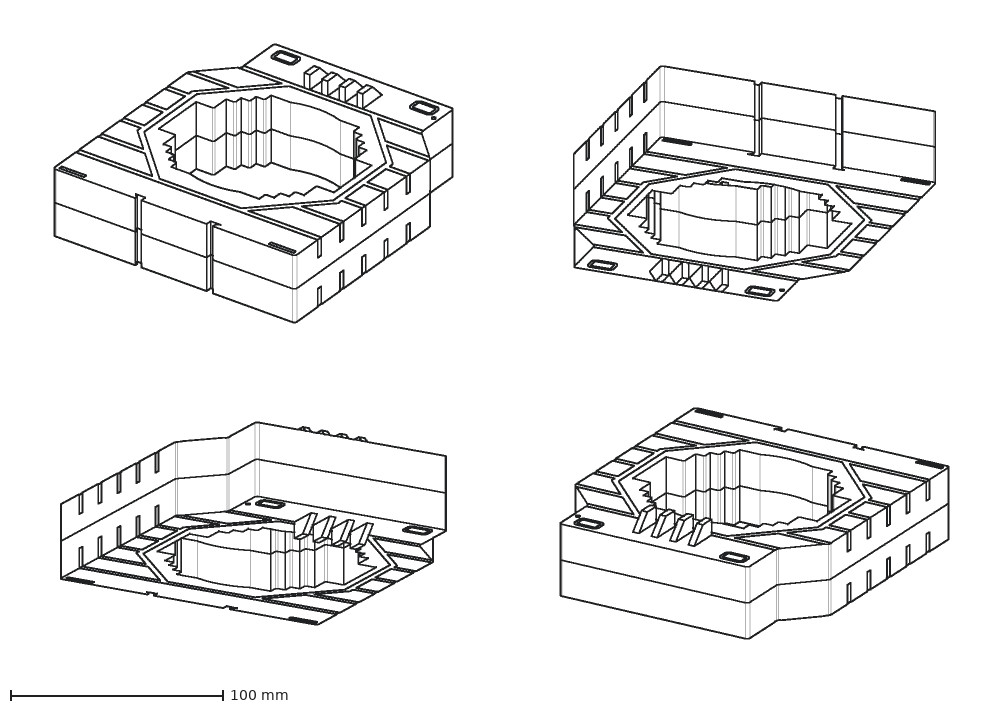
import cadquery as cq
import math


BODY_HALF_WIDTH = 70.0
BLOCK_HALF_WIDTH = 51.9
LENGTH = 154.5
BLOCK_END_Y = 80.5
FOOT_Y = BLOCK_END_Y - LENGTH
SHOULDER_SUM = 105.8
HALF_THICKNESS = 18.4
OVERALL_HEIGHT = 53.0
OUTER_CORNER_RADIUS = 1.5

ROUND_BORE_RADIUS = 43.1
WIDE_BAR = (50.7, 15.3)
FIRST_STEP_X = 40.6
FIRST_STEP_Y = 25.5
STEP_COUNT = 4
STAIRCASE_SPAN = 15.1
BAR_STEP = STAIRCASE_SPAN / (STEP_COUNT - 1)
STEP_CORNER_RADIUS = 1.0

GROOVE_DEPTH = 0.2
GROOVE_WIDTH = 3.0
GROOVES_EACH_SIDE = 3
OUTERMOST_GROOVE_Y = 54.0
GROOVE_PITCH = OUTERMOST_GROOVE_Y / GROOVES_EACH_SIDE
GROOVE_Y = [i * GROOVE_PITCH for i in range(-GROOVES_EACH_SIDE, GROOVES_EACH_SIDE + 1)]
BAND_EDGE_Y = OUTERMOST_GROOVE_Y + GROOVE_WIDTH / 2
SIDE_GROOVE_HEIGHT = 9.9
RING_HALF_WIDTH = 54.7
RING_SIDE_WIDTH = 3.4
RING_DIAGONAL_SUM = 76.2

FIN_COUNT = 4
FIN_ROW_SPAN = 30.5
FIN_PITCH = FIN_ROW_SPAN / (FIN_COUNT - 1)
FIN_WIDTH = 3.2
FIN_TIP_Z = OVERALL_HEIGHT / 2
FIN_TOE_Y = 71.4
FIN_CREST_Y = 63.5

FRAME_X = 40.0
FRAME_Y = 73.1
FRAME_OUTER = (13.1, 8.3)
FRAME_INNER = (10.0, 5.4)
FRAME_OUTER_RADIUS = 2.3
FRAME_INNER_RADIUS = 0.6
DOT_X = 49.1
DOT_Y = 68.0
DOT_DIAMETER = 2.0
FOOT_MARK_X = 60.5
FOOT_MARK_SIZE = (14.2, 1.9)
FOOT_MARK_Y = -71.0

NOTCH_INNER_X = 18.8
NOTCH_MOUTH_X = 22.4
NOTCH_ROOT_X = 24.5
NOTCH_DEPTH = 3.2
NOTCH_LIP = 1.4


def recess_floor(depth=GROOVE_DEPTH):
    """Workplane at the floor of a recess of the given depth in the face."""
    return cq.Workplane("XY", origin=(0, 0, HALF_THICKNESS - depth))


def make_housing_blank():
    right_side = [
        (BODY_HALF_WIDTH, FOOT_Y),
        (BODY_HALF_WIDTH, SHOULDER_SUM - BODY_HALF_WIDTH),
        (BLOCK_HALF_WIDTH, SHOULDER_SUM - BLOCK_HALF_WIDTH),
        (BLOCK_HALF_WIDTH, BLOCK_END_Y),
    ]
    left_side = [(-x, y) for x, y in reversed(right_side)]
    blank = cq.Workplane("XY").polyline(right_side + left_side).close().extrude(HALF_THICKNESS)
    return blank.edges("|Z").fillet(OUTER_CORNER_RADIUS)


def make_window():
    window = cq.Workplane("XY").circle(ROUND_BORE_RADIUS).extrude(HALF_THICKNESS)
    bars = [WIDE_BAR]
    for i in range(STEP_COUNT):
        bars.append((FIRST_STEP_X - i * BAR_STEP, FIRST_STEP_Y + i * BAR_STEP))
    for half_x, half_y in bars:
        bar = cq.Workplane("XY").rect(2 * half_x, 2 * half_y).extrude(HALF_THICKNESS)
        window = window.union(bar)
    for (_, side_y), (end_x, _) in zip(bars, bars[1:]):
        for x in (-end_x, end_x):
            for y in (-side_y, side_y):
                corner = cq.selectors.NearestToPointSelector((x, y, HALF_THICKNESS / 2))
                window = window.edges("|Z").edges(corner).fillet(STEP_CORNER_RADIUS)
    return window


def octagon(half_x, half_y, diagonal_sum):
    corner_x = diagonal_sum - half_y
    corner_y = diagonal_sum - half_x
    points = [
        (half_x, -corner_y), (half_x, corner_y), (corner_x, half_y), (-corner_x, half_y),
        (-half_x, corner_y), (-half_x, -corner_y), (-corner_x, -half_y), (corner_x, -half_y),
    ]
    return recess_floor().polyline(points).close().extrude(GROOVE_DEPTH)


def make_face_grooves():
    inside = octagon(RING_HALF_WIDTH, BAND_EDGE_Y - GROOVE_WIDTH, RING_DIAGONAL_SUM)
    grooves = octagon(
        RING_HALF_WIDTH + RING_SIDE_WIDTH, BAND_EDGE_Y, RING_DIAGONAL_SUM + GROOVE_WIDTH * math.sqrt(2)
    )
    for y in GROOVE_Y:
        band = recess_floor().center(0, y).rect(2 * BODY_HALF_WIDTH, GROOVE_WIDTH).extrude(GROOVE_DEPTH)
        grooves = grooves.union(band)
    return grooves.cut(inside)


def make_side_grooves():
    places = [(sx * BODY_HALF_WIDTH, y) for sx in (-1, 1) for y in GROOVE_Y[:-2]]
    floor = recess_floor(SIDE_GROOVE_HEIGHT).pushPoints(places)
    return floor.rect(2 * GROOVE_DEPTH, GROOVE_WIDTH).extrude(SIDE_GROOVE_HEIGHT)


def frame_pads(size, radius):
    places = [(-FRAME_X, FRAME_Y), (FRAME_X, FRAME_Y)]
    return recess_floor().pushPoints(places).rect(*size).extrude(GROOVE_DEPTH).edges("|Z").fillet(radius)


def make_markings():
    frames = frame_pads(FRAME_OUTER, FRAME_OUTER_RADIUS).cut(frame_pads(FRAME_INNER, FRAME_INNER_RADIUS))
    dot = recess_floor().center(DOT_X, DOT_Y).circle(DOT_DIAMETER / 2).extrude(GROOVE_DEPTH)
    foot_places = [(-FOOT_MARK_X, FOOT_MARK_Y), (FOOT_MARK_X, FOOT_MARK_Y)]
    foot_marks = recess_floor().pushPoints(foot_places).rect(*FOOT_MARK_SIZE).extrude(GROOVE_DEPTH)
    return frames.union(dot).union(foot_marks)


def make_notches():
    ceiling = FOOT_Y + NOTCH_DEPTH
    outline = [
        (NOTCH_INNER_X, FOOT_Y),
        (NOTCH_MOUTH_X, FOOT_Y),
        (NOTCH_MOUTH_X, FOOT_Y + NOTCH_LIP),
        (NOTCH_ROOT_X, ceiling),
        (NOTCH_INNER_X, ceiling),
    ]
    notch = cq.Workplane("XY").polyline(outline).close().extrude(HALF_THICKNESS)
    return notch.union(notch.mirror("YZ"))


def make_fins():
    profile = [
        (BAND_EDGE_Y, HALF_THICKNESS),
        (FIN_TOE_Y, HALF_THICKNESS),
        (FIN_CREST_Y, FIN_TIP_Z),
        (BAND_EDGE_Y, FIN_TIP_Z),
    ]
    fins = cq.Workplane("XY")
    for i in range(FIN_COUNT):
        x = i * FIN_PITCH - FIN_ROW_SPAN / 2
        plane = cq.Workplane("YZ", origin=(x, 0, 0))
        fins = fins.add(plane.polyline(profile).close().extrude(FIN_WIDTH / 2, both=True))
    return fins.combine()


def make_upper_half():
    half = make_housing_blank().cut(make_window()).cut(make_notches())
    half = half.cut(make_face_grooves()).cut(make_side_grooves()).cut(make_markings())
    return half.union(make_fins())


upper_half = make_upper_half()
lower_half = upper_half.mirror("XY")

result = cq.Compound.makeCompound([upper_half.val(), lower_half.val()])